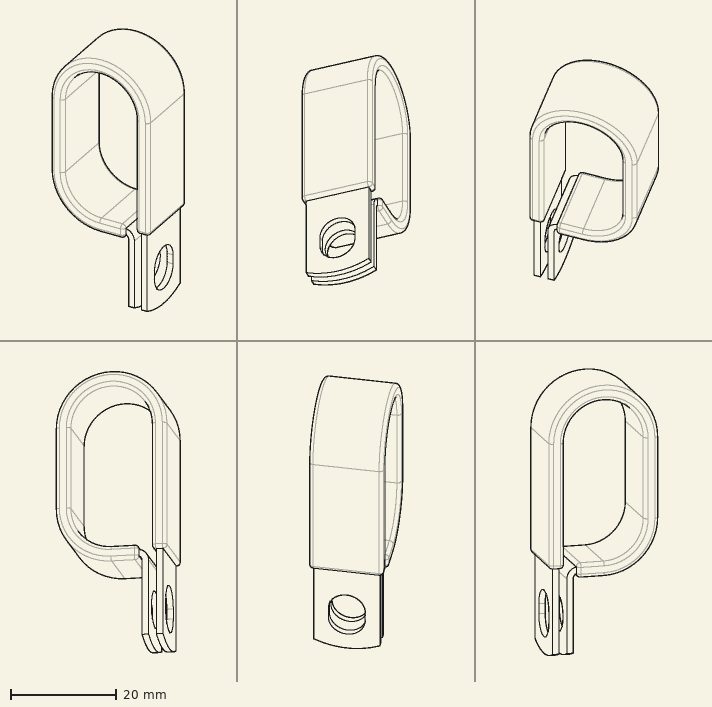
import cadquery as cq
import math

loop_radius = 10.735
cushion_thickness = 2.85
cushion_width = 14.3
edge_radius = 0.75
bend_spacing = 15.9
long_leg_length = 24.7
short_leg_length = 5.3

strap_thickness = 1.3
strap_width = cushion_width - 2 * edge_radius
strap_bend_inner_radius = 0.95
near_tab_x = 6.55
tab_tip_sag = 1.35
hole_diameter = 7.1
slot_length = 9.1
hole_above_tip = 7.85
total_height = 53.55

mid_radius = loop_radius - cushion_thickness / 2
lower_center_z = -bend_spacing
tip_z = loop_radius - total_height
strap_bend_radius = strap_bend_inner_radius + strap_thickness / 2
strap_bend_start_x = near_tab_x - strap_bend_radius


def loop_path(long_leg_end_z, short_leg_end_x):
    """Centre line from the long leg, over the top and round to the short leg end."""
    diagonal = mid_radius * math.sqrt(0.5)
    return (
        cq.Workplane("XZ")
        .moveTo(mid_radius, long_leg_end_z)
        .lineTo(mid_radius, 0)
        .threePointArc((0, mid_radius), (-mid_radius, 0))
        .lineTo(-mid_radius, lower_center_z)
        .threePointArc((-diagonal, lower_center_z - diagonal), (0, lower_center_z - mid_radius))
        .lineTo(short_leg_end_x, lower_center_z - mid_radius)
    )


def band(path, start_z, thickness, width):
    """Sweep a rectangular section along a path starting at the foot of the long leg."""
    section = cq.Workplane("XY", origin=(mid_radius, 0, start_z)).rect(thickness, width)
    return section.sweep(path)


def make_cushion():
    path = loop_path(-long_leg_length, short_leg_length)
    cushion = band(path, -long_leg_length, cushion_thickness, cushion_width)
    long_leg_end = (mid_radius, 0, -long_leg_length)
    short_leg_end = (short_leg_length, 0, lower_center_z - mid_radius)
    rounded_edges = cushion.faces("<Y or >Y").edges()
    for end_point in (long_leg_end, short_leg_end):
        end_face = cushion.faces(cq.selectors.NearestToPointSelector(end_point))
        rounded_edges = rounded_edges.add(end_face.edges())
    return rounded_edges.fillet(edge_radius)


def make_strap():
    bend_center_z = lower_center_z - mid_radius - strap_bend_radius
    bend_offset = strap_bend_radius * math.sqrt(0.5)
    path = (
        loop_path(tip_z, strap_bend_start_x)
        .threePointArc(
            (strap_bend_start_x + bend_offset, bend_center_z + bend_offset),
            (near_tab_x, bend_center_z),
        )
        .lineTo(near_tab_x, tip_z)
    )
    return band(path, tip_z, strap_thickness, strap_width)


def tab_outline():
    """Side outline that trims both tab tips to a shallow arc."""
    half_width = strap_width / 2
    corner_z = tip_z + tab_tip_sag
    return (
        cq.Workplane("YZ")
        .moveTo(-half_width, corner_z)
        .threePointArc((0, tip_z), (half_width, corner_z))
        .lineTo(half_width, loop_radius)
        .lineTo(-half_width, loop_radius)
        .close()
        .extrude(loop_radius, both=True)
    )


def tab_holes():
    """Round hole through the near tab and an upright slot through the far tab."""
    hole_z = tip_z + hole_above_tip
    tab_gap_middle_x = (near_tab_x + mid_radius) / 2
    round_hole = (
        cq.Workplane("YZ", origin=(0, 0, hole_z))
        .circle(hole_diameter / 2)
        .extrude(tab_gap_middle_x)
    )
    slot = (
        cq.Workplane("YZ", origin=(tab_gap_middle_x, 0, hole_z))
        .slot2D(slot_length, hole_diameter, 90)
        .extrude(loop_radius - tab_gap_middle_x)
    )
    return round_hole.union(slot)


strap = make_strap().intersect(tab_outline()).cut(tab_holes())
result = make_cushion().union(strap)